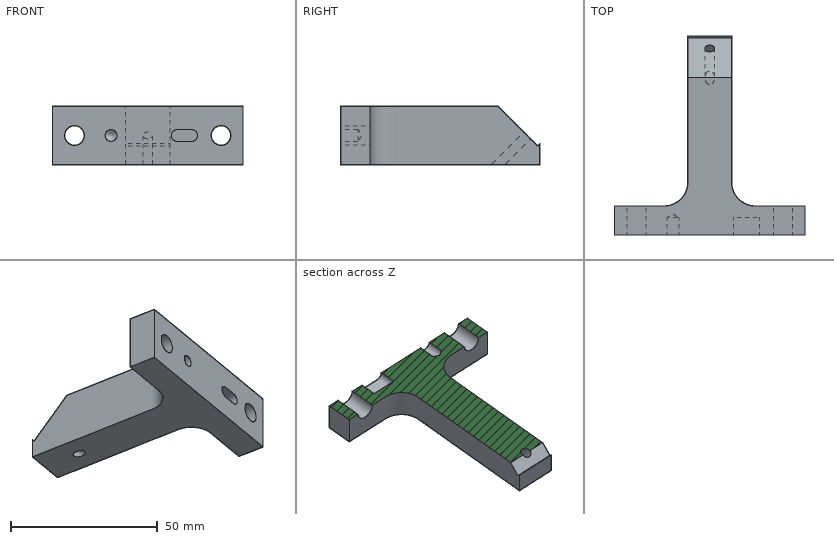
import cadquery as cq
import math

foot_length = 65.0
foot_thickness = 10.0
height = 20.0
total_depth = 68.0
stem_width = 15.0
corner_radius = 8.0

seat_start_y = 53.7
lip_size = 0.75
lip_root_y = total_depth - lip_size
lip_root_z = height - (lip_root_y - seat_start_y)
seat_hole_diameter = 3.25
seat_hole_from_lip = 5.0

bolt_spacing = 50.0
bolt_diameter = 6.6
dowel_spacing = 25.0
dowel_diameter = 4.0
dowel_depth = 6.0
drill_tip_angle = 118.0
slot_length = 9.0
mid_height = height / 2


def make_body():
    foot = cq.Workplane("XY").box(foot_length, foot_thickness, height, centered=(True, False, False))
    stem = cq.Workplane("XY").box(stem_width, total_depth, height, centered=(True, False, False))
    inner_corners = cq.selectors.BoxSelector(
        (-stem_width, foot_thickness / 2, -height),
        (stem_width, foot_thickness * 2, height * 2),
    )
    return foot.union(stem).edges("|Z").edges(inner_corners).fillet(corner_radius)


def make_seat_cut():
    return (
        cq.Workplane("YZ")
        .moveTo(seat_start_y, height)
        .lineTo(lip_root_y, lip_root_z)
        .lineTo(total_depth, lip_root_z + lip_size)
        .lineTo(total_depth, height)
        .close()
        .extrude(stem_width / 2, both=True)
    )


def make_seat_hole():
    """Hole square to the seat, running through to the underside."""
    offset = seat_hole_from_lip / math.sqrt(2)
    center = cq.Vector(0, lip_root_y - offset, lip_root_z + offset)
    into_seat = cq.Vector(0, -1, -1)
    return cq.Solid.makeCylinder(seat_hole_diameter / 2, height, center, into_seat)


def mounting_plane(x):
    """Sketch plane on the mounting face, with its normal pointing into the foot."""
    return cq.Workplane(cq.Plane(origin=(x, 0, mid_height), xDir=(1, 0, 0), normal=(0, 1, 0)))


def make_dowel_hole():
    """Blind drilled hole with a conical bottom."""
    radius = dowel_diameter / 2
    tip_length = radius / math.tan(math.radians(drill_tip_angle / 2))
    profile = (
        cq.Workplane("XY")
        .polyline([(0, 0), (radius, 0), (radius, dowel_depth), (0, dowel_depth + tip_length)])
        .close()
    )
    hole = profile.revolve(360, (0, 0), (0, 1))
    return hole.translate((-dowel_spacing / 2, 0, mid_height))


result = make_body().cut(make_seat_cut()).cut(make_seat_hole()).cut(make_dowel_hole())

for side in (-1, 1):
    bolt_hole = mounting_plane(side * bolt_spacing / 2).circle(bolt_diameter / 2).extrude(foot_thickness)
    result = result.cut(bolt_hole)

dowel_slot = mounting_plane(dowel_spacing / 2).slot2D(slot_length, dowel_diameter).extrude(dowel_depth)
result = result.cut(dowel_slot)